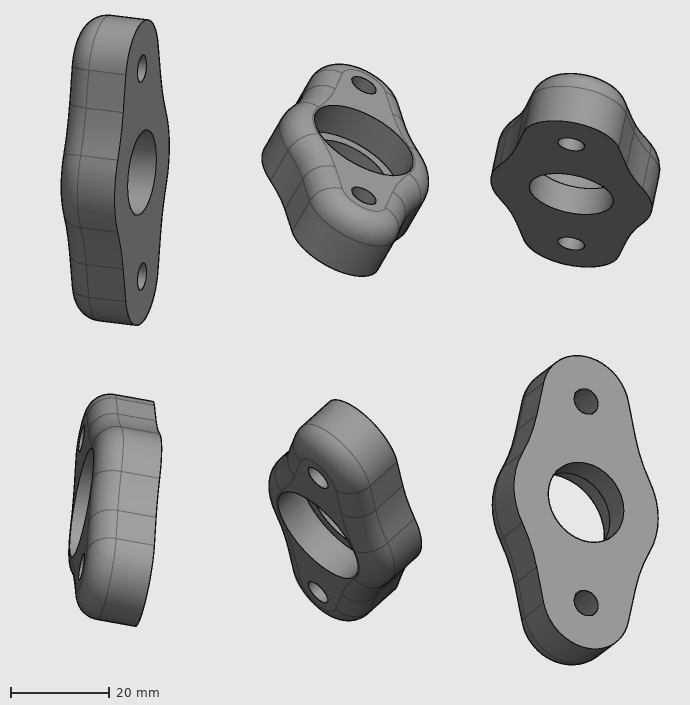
import cadquery as cq
import math

length = 65.0
width = 33.35
thickness = 13.0
end_radius = 10.0
flank_angle = math.radians(12)
waist_radius = 35.0
edge_radius = 5.0
bolt_hole_diameter = 5.5
bore_diameter = 17.4
counterbore_diameter = 22.5
counterbore_depth = 7.0

lobe_radius = width / 2
bolt_offset = length / 2 - end_radius


def outline_points():
    """Points of the upper +Y quarter, from the end flank to the centre lobe, as (y, z)."""
    cos_flank = math.cos(flank_angle)
    sin_flank = math.sin(flank_angle)

    flank_distance = end_radius + bolt_offset * sin_flank
    centre_normal = flank_distance + waist_radius
    centre_along = math.sqrt((lobe_radius + waist_radius) ** 2 - centre_normal**2)
    centre_y = centre_normal * cos_flank - centre_along * sin_flank
    centre_z = centre_normal * sin_flank + centre_along * cos_flank
    lobe_angle = math.atan2(centre_z, centre_y)
    middle_angle = (flank_angle + lobe_angle) / 2

    def on_waist(angle):
        return (
            centre_y - waist_radius * math.cos(angle),
            centre_z - waist_radius * math.sin(angle),
        )

    flank_top = (end_radius * cos_flank, bolt_offset + end_radius * sin_flank)
    return flank_top, on_waist(flank_angle), on_waist(middle_angle), on_waist(lobe_angle)


def make_body():
    flank_top, flank_bottom, waist_middle, lobe_top = outline_points()

    def mirrored(point, y_sign, z_sign):
        return (y_sign * point[0], z_sign * point[1])

    profile = cq.Workplane("YZ").moveTo(0, length / 2)
    for side in (1, -1):
        profile = (
            profile.threePointArc(
                (
                    side * end_radius * math.sin(math.pi / 4),
                    side * (bolt_offset + end_radius * math.cos(math.pi / 4)),
                ),
                mirrored(flank_top, side, side),
            )
            .lineTo(*mirrored(flank_bottom, side, side))
            .threePointArc(mirrored(waist_middle, side, side), mirrored(lobe_top, side, side))
            .threePointArc((side * lobe_radius, 0), mirrored(lobe_top, side, -side))
            .threePointArc(mirrored(waist_middle, side, -side), mirrored(flank_bottom, side, -side))
            .lineTo(*mirrored(flank_top, side, -side))
            .threePointArc(
                (
                    side * end_radius * math.sin(math.pi / 4),
                    -side * (bolt_offset + end_radius * math.cos(math.pi / 4)),
                ),
                (0, -side * length / 2),
            )
        )
    return profile.close().extrude(thickness).faces("<X").edges().fillet(edge_radius)


def cylinder_along_x(diameter, depth, z=0):
    return cq.Workplane("YZ").center(0, z).circle(diameter / 2).extrude(depth)


result = make_body()
result = result.cut(cylinder_along_x(bore_diameter, thickness))
result = result.cut(cylinder_along_x(counterbore_diameter, counterbore_depth))
for bolt_z in (bolt_offset, -bolt_offset):
    result = result.cut(cylinder_along_x(bolt_hole_diameter, thickness, bolt_z))
result = result.translate((-thickness / 2, 0, 0))